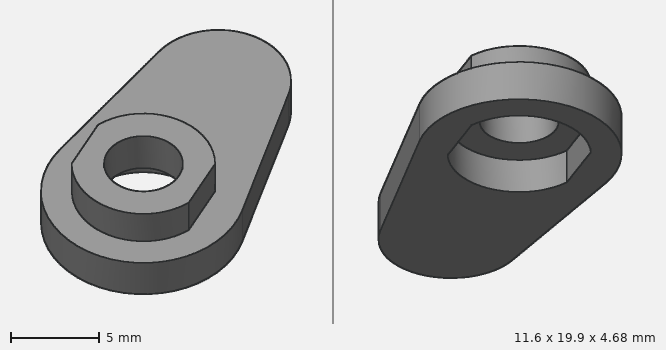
import cadquery as cq
import math

total_length = 19.86
plate_thickness = 2.5
large_end_radius = 5.82
small_end_radius = 4.12
boss_diameter = 8.14
boss_width_across_flats = 7.36
boss_height = 2.18
socket_depth = 2.14
bore_diameter = 4.48

end_spacing = total_length - large_end_radius - small_end_radius
total_height = plate_thickness + boss_height


def make_plate():
    """Tapered lever plate: two round ends joined by their common tangent lines."""
    taper = math.asin((large_end_radius - small_end_radius) / end_spacing)
    large_x = large_end_radius * math.cos(taper)
    large_y = large_end_radius * math.sin(taper)
    small_x = small_end_radius * math.cos(taper)
    small_y = end_spacing + small_end_radius * math.sin(taper)
    return (
        cq.Workplane("XY")
        .moveTo(large_x, large_y)
        .lineTo(small_x, small_y)
        .threePointArc((0, end_spacing + small_end_radius), (-small_x, small_y))
        .lineTo(-large_x, large_y)
        .threePointArc((0, -large_end_radius), (large_x, large_y))
        .close()
        .extrude(plate_thickness)
    )


def make_double_flat_prism(base_z, height):
    """Cylinder trimmed by two flats parallel to the YZ plane."""
    base = cq.Workplane("XY").workplane(offset=base_z)
    cylinder = base.circle(boss_diameter / 2).extrude(height)
    across_flats = base.rect(boss_width_across_flats, boss_diameter).extrude(height)
    return cylinder.intersect(across_flats)


def make_bore():
    """Through bore along the boss axis."""
    return cq.Workplane("XY").circle(bore_diameter / 2).extrude(total_height)


boss = make_double_flat_prism(plate_thickness, boss_height)
socket = make_double_flat_prism(0, socket_depth)

result = make_plate().union(boss).cut(make_bore()).cut(socket)